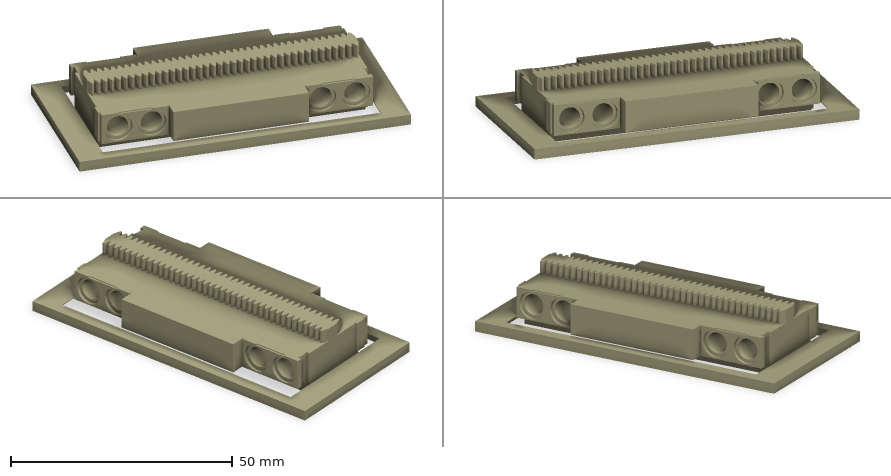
import cadquery as cq
import math

frame_width = 38.4
frame_length = 78.2
frame_height = 2.5
opening_width = 32.6
opening_length = 65.5
lip_thickness = 0.2
recess_width = 35.4
recess_length = 70.2

housing_top = 10.0
housing_bottom = 2.6
core_width = 25.5
core_length = 64.0
middle_width = 31.9
middle_length = 32.0
foot_width = 18.6
core_side = core_width / 2
core_end = core_length / 2

rib_height = 3.2
rib_tip_half_width = 3.25
rib_root_half_width = 1.65
tooth_count = 40
tooth_pitch = core_length / tooth_count
tooth_tip_width = 0.45
flank_angle = 16.6
flank_run = (rib_tip_half_width - rib_root_half_width) * math.tan(math.radians(flank_angle))

hole_diameter = 5.0
counterbore_diameter = 6.6
counterbore_depth = 0.8
hole_spacing = 8.0
hole_pair_offset = 24.0
hole_height = 6.25

ledge_depth = 0.4
ledge_drop = 0.25

locator_offset = 9.9
tab_width = 2.7
tab_projection = 0.4
notch_width = 3.0
notch_depth = 0.73

relief_width = 0.2
relief_depth = 0.4


def upright_block(x_start, x_end, y_start, y_end, bottom=housing_bottom, top=housing_top):
    """A block between two X and two Y positions, by default as tall as the core."""
    middle_x = (x_start + x_end) / 2
    middle_y = (y_start + y_end) / 2
    width = abs(x_end - x_start)
    length = abs(y_end - y_start)
    return cq.Workplane("XY", origin=(middle_x, middle_y, bottom)).rect(width, length).extrude(top - bottom)


def centered_block(width, length, bottom, top):
    return upright_block(-width / 2, width / 2, -length / 2, length / 2, bottom, top)


def make_frame():
    plate = centered_block(frame_width, frame_length, 0, frame_height)
    opening = centered_block(opening_width, opening_length, 0, frame_height)
    recess_under_lip = centered_block(recess_width, recess_length, 0, frame_height - lip_thickness)
    return plate.cut(opening).cut(recess_under_lip)


def rib_edge():
    """Points of the toothed +X edge of the rib, from its -Y end to its +Y end."""
    tip_half = tooth_tip_width / 2
    root_half = tip_half + flank_run
    points = [(rib_root_half_width, -core_end)]
    for tooth in range(tooth_count):
        tooth_y = -core_end + (tooth + 0.5) * tooth_pitch
        points.append((rib_root_half_width, tooth_y - root_half))
        points.append((rib_tip_half_width, tooth_y - tip_half))
        points.append((rib_tip_half_width, tooth_y + tip_half))
        points.append((rib_root_half_width, tooth_y + root_half))
    points.append((rib_root_half_width, core_end))
    return points


def toothed_rib():
    right_edge = rib_edge()
    left_edge = [(-x, y) for x, y in reversed(right_edge)]
    outline = cq.Workplane("XY", origin=(0, 0, housing_top)).polyline(right_edge + left_edge).close()
    return outline.extrude(rib_height)


def end_tab():
    """Tab on the -Y end face, rooted a little inside the core."""
    left = locator_offset - tab_width / 2
    right = locator_offset + tab_width / 2
    return upright_block(left, right, -core_end - tab_projection, -core_end + relief_depth)


def end_cuts():
    """Notch of the -Y end face, with the relief grooves beside the notch and the tab."""
    notch_floor = -core_end + notch_depth
    notch_left = -locator_offset - notch_width / 2
    notch_right = -locator_offset + notch_width / 2
    tab_left = locator_offset - tab_width / 2
    tab_right = locator_offset + tab_width / 2
    cuts = upright_block(notch_left, notch_right, -core_end, notch_floor, bottom=0)
    for groove_left, groove_start in (
        (notch_left, notch_floor),
        (notch_right - relief_width, notch_floor),
        (tab_left - relief_width, -core_end),
        (tab_right, -core_end),
    ):
        groove_right = groove_left + relief_width
        groove = upright_block(groove_left, groove_right, -core_end, groove_start + relief_depth, bottom=0)
        cuts = cuts.union(groove)
    return cuts


def cross_hole(y):
    """Through hole along X with a counterbore at each side of the core."""
    start = cq.Workplane("YZ", origin=(-core_side, y, hole_height))
    hole = start.circle(hole_diameter / 2).extrude(core_width)
    counterbore = start.circle(counterbore_diameter / 2).extrude(counterbore_depth)
    return hole.union(counterbore).union(counterbore.mirror("YZ"))


def side_cuts(side, end):
    """Ledge above a pair of holes and groove beside the middle block, on one side at one end."""
    pair_y = end * hole_pair_offset
    ledge = upright_block(
        side * (core_side - ledge_depth),
        side * core_side,
        pair_y - hole_spacing / 2,
        pair_y + hole_spacing / 2,
        bottom=housing_top - ledge_drop,
    )
    corner_y = end * middle_length / 2
    groove = upright_block(
        side * (core_side - relief_depth), side * core_side, corner_y, corner_y + end * relief_width
    )
    return ledge.union(groove)


def make_housing():
    core = centered_block(core_width, core_length, housing_bottom, housing_top)
    middle = centered_block(middle_width, middle_length, housing_bottom, housing_top)
    foot = centered_block(foot_width, core_length, 0, housing_top)
    body = core.union(middle).union(foot)

    for turn in (0, 180):
        body = body.cut(end_cuts().rotate((0, 0, 0), (0, 0, 1), turn))
        body = body.union(end_tab().rotate((0, 0, 0), (0, 0, 1), turn))

    for end in (-1, 1):
        for hole_side in (-1, 1):
            body = body.cut(cross_hole(end * hole_pair_offset + hole_side * hole_spacing / 2))
        for side in (-1, 1):
            body = body.cut(side_cuts(side, end))
    return body.union(toothed_rib())


frame = make_frame()
housing = make_housing()

result = cq.Compound.makeCompound([frame.solids().val(), housing.solids().val()])